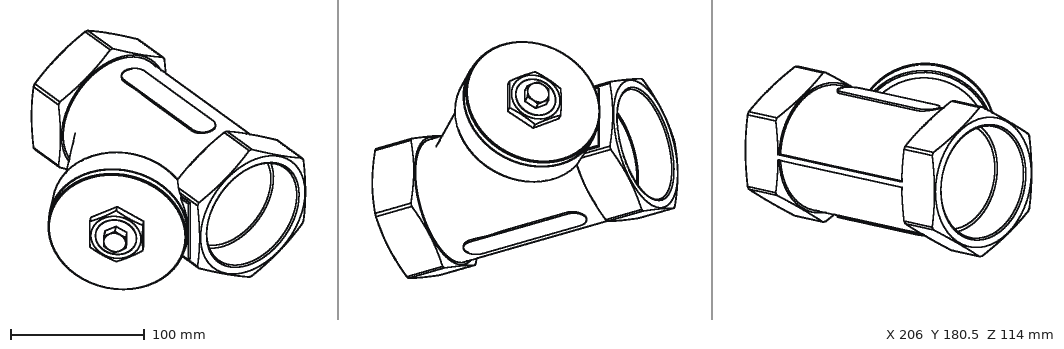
import cadquery as cq
import math

run_length = 206.0
run_radius = 47.5
through_bore = 80.0
socket_bore = 84.9
socket_depth = 29.7
socket_mouth = 87.3
mouth_chamfer = (socket_mouth - socket_bore) / 2

hex_flats = 100.0
hex_corners = 114.0
hex_length = 36.0
hex_face_diameter = 98.5
hex_chamfer_length = 2.7

branch_angle = 45.0
branch_start_x = -34.8
branch_radius = 47.2
collar_start = 103.2
collar_end = 127.0
collar_diameter = 105.0
collar_chamfer = 1.2
cap_diameter = 104.0
cap_end = 133.3
cap_chamfer = 0.8
junction_fillet = 6.2

plug_flats = 39.8
plug_end = 140.3
plug_face_diameter = 37.7
plug_chamfer_length = 1.6
plug_recess_diameter = 31.0
plug_recess_depth = 0.5
tip_flats = 16.5
tip_end = 147.0
tip_chamfer_length = 0.6

pad_length = 102.5
pad_width = 19.4
pad_height = 48.2
rib_width = 4.1
bridge_start_x = 78.3
bridge_end_x = 91.3
bridge_depth = 52.0
bridge_width = 50.3

hex_ratio = 1 / math.cos(math.radians(30))


def chamfered_hexagon(flats, corners, length, face, chamfer, both_ends):
    """Hexagonal prism along +Z, flats facing +X and -X, its corners turned down to cones at the ends."""
    prism = cq.Workplane("XY").polygon(6, flats * hex_ratio).extrude(length)
    prism = prism.rotate((0, 0, 0), (0, 0, 1), 30)
    profile = cq.Workplane("XZ").moveTo(0, 0)
    if both_ends:
        profile = profile.lineTo(face / 2, 0).lineTo(corners / 2, chamfer)
    else:
        profile = profile.lineTo(corners / 2, 0)
    profile = profile.lineTo(corners / 2, length - chamfer).lineTo(face / 2, length).lineTo(0, length)
    turned = profile.close().revolve(360, (0, 0, 0), (0, 1, 0))
    return prism.intersect(turned)


def disc(diameter, start, end):
    """Cylinder about Z between two heights."""
    return cq.Workplane("XY").workplane(offset=start).circle(diameter / 2).extrude(end - start)


def place_on_branch(shape):
    """Lay a shape built along +Z onto the branch axis, its X axis staying in the plane of both pipes."""
    return (
        shape.rotate((0, 0, 0), (0, 1, 0), 90)
        .rotate((0, 0, 0), (1, 0, 0), 90)
        .rotate((0, 0, 0), (0, 0, 1), -branch_angle)
        .translate((branch_start_x, 0, 0))
    )


def pipe_junction():
    """Run and branch pipes with a fillet around their junction."""
    run = cq.Workplane("YZ").circle(run_radius).extrude(run_length - hex_length)
    run = run.translate((-(run_length - hex_length) / 2, 0, 0))
    branch = place_on_branch(disc(2 * branch_radius, 0, collar_start))
    pipes = run.union(branch)
    seam = [edge for edge in pipes.edges().vals() if edge.geomType() == "BSPLINE"]
    return pipes.newObject(seam).fillet(junction_fillet)


def run_hexagons():
    """Hexagon at each end of the run, flats facing +Y and -Y."""
    hexagon = chamfered_hexagon(
        hex_flats, hex_corners, hex_length, hex_face_diameter, hex_chamfer_length, True
    )
    hexagon = hexagon.rotate((0, 0, 0), (0, 0, 1), 90).rotate((0, 0, 0), (0, 1, 0), 90)
    left = hexagon.translate((-run_length / 2, 0, 0))
    return left.union(left.mirror("YZ"))


def branch_end():
    """Collar, cap and plug closing the branch."""
    collar = disc(collar_diameter, collar_start, collar_end).faces("<Z").chamfer(collar_chamfer)
    cap = disc(cap_diameter, collar_end, cap_end).faces(">Z").chamfer(cap_chamfer)
    plug = chamfered_hexagon(
        plug_flats, plug_flats * hex_ratio, plug_end - cap_end, plug_face_diameter, plug_chamfer_length, False
    ).translate((0, 0, cap_end))
    recess = disc(plug_recess_diameter, plug_end - plug_recess_depth, plug_end)
    tip = chamfered_hexagon(
        tip_flats, tip_flats * hex_ratio, tip_end - cap_end, tip_flats, tip_chamfer_length, False
    ).translate((0, 0, cap_end))
    return place_on_branch(collar.union(cap).union(plug.cut(recess)).union(tip))


def label_pads():
    """Round-ended flat pads on the top and bottom of the run."""
    return cq.Workplane("XY").slot2D(pad_length, pad_width).extrude(pad_height, both=True)


def back_rib():
    """Narrow rib along the +Y side of the run, level with the hexagon flats."""
    depth = hex_flats / 2
    return cq.Workplane("XY").box(run_length - hex_length, depth, rib_width).translate((0, depth / 2, 0))


def collar_bridge():
    """Block joining the collar to the flat of the nearby hexagon."""
    length = bridge_end_x - bridge_start_x
    block = cq.Workplane("XY").box(length, bridge_depth, bridge_width)
    return block.translate((bridge_start_x + length / 2, -bridge_depth / 2, 0))


def run_bore():
    """Through bore with a chamfered socket at each end."""
    bore = cq.Workplane("YZ").circle(through_bore / 2).extrude(run_length / 2, both=True)
    socket = disc(socket_bore, 0, socket_depth)
    mouth = cq.Workplane("XY").circle(socket_mouth / 2).extrude(mouth_chamfer, taper=45)
    left = socket.union(mouth).rotate((0, 0, 0), (0, 1, 0), 90).translate((-run_length / 2, 0, 0))
    return bore.union(left).union(left.mirror("YZ"))


body = pipe_junction()
for feature in (label_pads(), back_rib(), run_hexagons(), branch_end(), collar_bridge()):
    body = body.union(feature)
result = body.cut(run_bore())